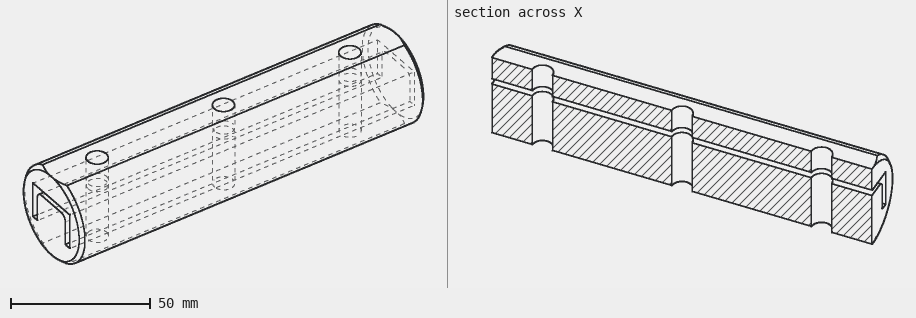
import cadquery as cq

length = 150.0
diameter = 38.1
height_over_flats = 35.0
end_chamfer = 1.5

slot_width = 23.1
slot_height = 15.0
tongue_width = 17.5
slot_roof_gap = 2.2
tongue_radius = 2.5

hole_diameter = 8.0
hole_spacing = 55.0


def make_bar():
    rod = (
        cq.Workplane("XZ")
        .circle(diameter / 2)
        .extrude(length / 2, both=True)
        .faces("<Y or >Y")
        .chamfer(end_chamfer)
    )
    flats = cq.Workplane("XY").box(diameter, length, height_over_flats)
    return rod.intersect(flats)


def make_slot():
    cavity = cq.Workplane("XY").box(slot_width, length, slot_height)
    tongue = (
        cq.Workplane("XY")
        .box(tongue_width, length, slot_height - slot_roof_gap)
        .translate((0, 0, -slot_roof_gap / 2))
        .edges("|Y and >Z")
        .fillet(tongue_radius)
    )
    return cavity.cut(tongue)


def make_holes():
    return (
        cq.Workplane("XY")
        .pushPoints([(0, step * hole_spacing) for step in (-1, 0, 1)])
        .circle(hole_diameter / 2)
        .extrude(height_over_flats / 2, both=True)
    )


result = make_bar().cut(make_slot()).cut(make_holes())